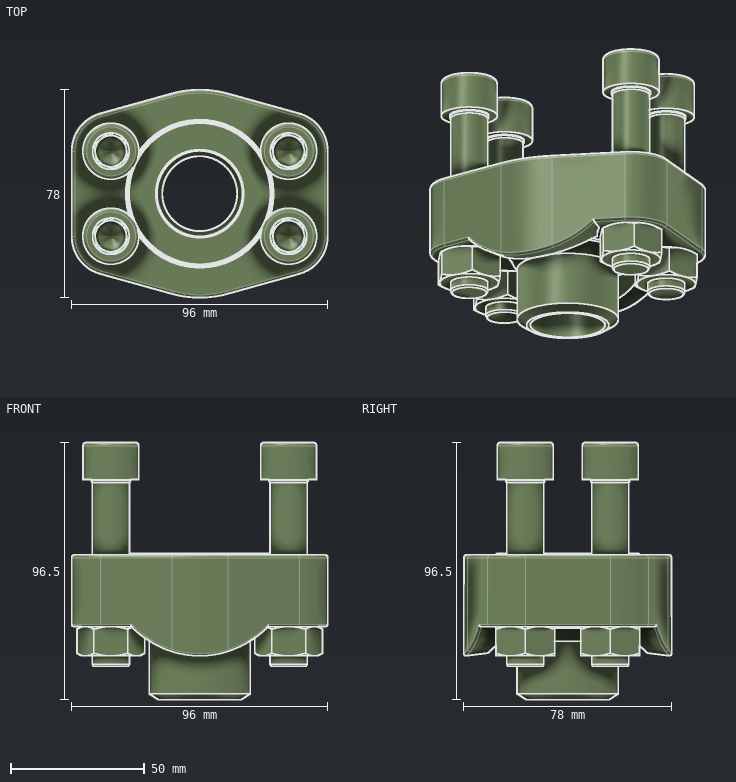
import cadquery as cq
import math


FLANGE_LENGTH = 96.0
FLANGE_WIDTH = 78.0
FLANGE_HEIGHT = 26.9
FLANGE_TOP_ROUND = 1.2
FLANGE_BOTTOM_ROUND = 0.9
LOBE_DEPTH = 11.1
LOBE_DRAFT = 7
LOBE_INNER_DIAMETER = 59.8
SEAT_DIAMETER = 54.7
SEAT_RIM_CHAMFER = 0.4
SLEEVE_HOLE_DIAMETER = 44.5
BOLT_HOLE_DIAMETER = 15.0

BOLT_X = 33.3
BOLT_Y = 15.9
BOLT_POSITIONS = [(x, y) for x in (-BOLT_X, BOLT_X) for y in (-BOLT_Y, BOLT_Y)]

SLEEVE_BOTTOM_Z = -27.5
SLEEVE_PROUD = 0.6
SLEEVE_HEAD_DIAMETER = 54.0
SLEEVE_HEAD_HEIGHT = 10.3
SLEEVE_HEAD_CHAMFER = 0.6
SHANK_DIAMETER = 43.5
PIPE_DIAMETER = 38.0
SHANK_BOTTOM_Z = -0.7
PIPE_TOP_Z = -5.5
BEVEL_WIDTH = 3.6
BEVEL_HEIGHT = 2.3
BORE_DIAMETER = 28.0
MOUTH_DIAMETER = 32.0
MOUTH_DEPTH = 5.2
MOUTH_CHAMFER = 0.5

BOLT_DIAMETER = 14.0
BOLT_TIP_Z = -15.0
BOLT_TIP_DIAMETER = 13.0
BOLT_TIP_CHAMFER = 0.9
BOLT_LENGTH = 70.0
BOLT_HEAD_DIAMETER = 21.0
BOLT_HEAD_HEIGHT = 14.0
BOLT_HEAD_ROUND = 1.35
NECK_DIAMETER = 14.8
NECK_HEIGHT = 0.4
NECK_TAPER_HEIGHT = 0.8
SOCKET_FLATS = 11.7
SOCKET_DEPTH = 7.5
SOCKET_MOUTH_DIAMETER = 13.7
SOCKET_TURN = 39
DRILL_POINT_ANGLE = 120

NUT_FLATS = 22.0
NUT_HEIGHT = 11.0
NUT_CHAMFER_ANGLE = 30


def hexagon_corners(flats):
    """Distance between opposite corners of a hexagon with the given width across flats."""
    return flats / math.cos(math.radians(30))


def flange_outline():
    """Hexagon-like outline: round corners about the bolt holes, joined by tangents to wide end arcs."""
    crown = FLANGE_WIDTH / 2
    corner = FLANGE_LENGTH / 2 - BOLT_X
    tangent_angle = math.atan2(BOLT_Y, BOLT_X) + math.acos((crown - corner) / math.hypot(BOLT_X, BOLT_Y))

    def corner_point(angle):
        return BOLT_X + corner * math.cos(angle), BOLT_Y + corner * math.sin(angle)

    side_x, side_y = corner_point(0)
    middle_x, middle_y = corner_point(tangent_angle / 2)
    end_x, end_y = corner_point(tangent_angle)
    crown_x = crown * math.cos(tangent_angle)
    crown_y = crown * math.sin(tangent_angle)
    return (
        cq.Workplane("XY")
        .moveTo(side_x, -side_y)
        .lineTo(side_x, side_y)
        .threePointArc((middle_x, middle_y), (end_x, end_y))
        .lineTo(crown_x, crown_y)
        .threePointArc((0, crown), (-crown_x, crown_y))
        .lineTo(-end_x, end_y)
        .threePointArc((-middle_x, middle_y), (-side_x, side_y))
        .lineTo(-side_x, -side_y)
        .threePointArc((-middle_x, -middle_y), (-end_x, -end_y))
        .lineTo(-crown_x, -crown_y)
        .threePointArc((0, -crown), (crown_x, -crown_y))
        .lineTo(end_x, -end_y)
        .threePointArc((middle_x, -middle_y), (side_x, -side_y))
        .close()
    )


def lobe_cones():
    """Two drafted round lobes, widest at the +Y and -Y ends, with their axis in the flange top plane."""
    end_radius = FLANGE_HEIGHT + LOBE_DEPTH
    length = FLANGE_WIDTH / 2
    middle_radius = end_radius - length * math.tan(math.radians(LOBE_DRAFT))
    start = cq.Vector(0, 0, FLANGE_HEIGHT)
    cones = [
        cq.Solid.makeCone(middle_radius, end_radius, length, start, cq.Vector(0, side, 0))
        for side in (-1, 1)
    ]
    return cq.Workplane(cones[0]).union(cq.Workplane(cones[1]))


def make_flange():
    """Flange with two lobes below it, a seat for the sleeve and four bolt holes."""
    full_height = FLANGE_HEIGHT + LOBE_DEPTH
    lobes = flange_outline().extrude(full_height).translate((0, 0, -LOBE_DEPTH)).intersect(lobe_cones())
    flange = flange_outline().extrude(FLANGE_HEIGHT).union(lobes)
    flange = flange.faces(">Z").edges().fillet(FLANGE_TOP_ROUND)

    underside_zone = cq.selectors.BoxSelector(
        (-FLANGE_LENGTH, -FLANGE_WIDTH, -full_height), (FLANGE_LENGTH, FLANGE_WIDTH, FLANGE_BOTTOM_ROUND)
    )
    core_reach = LOBE_INNER_DIAMETER / 2
    core = cq.selectors.BoxSelector(
        (-core_reach, -core_reach, -full_height), (core_reach, core_reach, full_height)
    )
    flange = flange.edges(underside_zone - core).fillet(FLANGE_BOTTOM_ROUND)

    flange = flange.cut(cq.Workplane("XY").circle(LOBE_INNER_DIAMETER / 2).extrude(-full_height))

    nut_clearances = (
        cq.Workplane("XY")
        .pushPoints(BOLT_POSITIONS)
        .circle(hexagon_corners(NUT_FLATS) / 2)
        .extrude(-NUT_HEIGHT)
    )
    flange = flange.cut(nut_clearances)

    seat_depth = SLEEVE_HEAD_HEIGHT - SLEEVE_PROUD
    flange = (
        flange.faces(">Z").workplane(origin=(0, 0, FLANGE_HEIGHT))
        .cboreHole(SLEEVE_HOLE_DIAMETER, SEAT_DIAMETER, seat_depth)
    )
    rim = cq.Solid.makeCone(
        SEAT_DIAMETER / 2,
        SEAT_DIAMETER / 2 + SEAT_RIM_CHAMFER,
        SEAT_RIM_CHAMFER,
        cq.Vector(0, 0, FLANGE_HEIGHT - SEAT_RIM_CHAMFER),
    )
    flange = flange.cut(cq.Workplane(rim))

    bolt_holes = (
        cq.Workplane("XY").pushPoints(BOLT_POSITIONS).circle(BOLT_HOLE_DIAMETER / 2).extrude(FLANGE_HEIGHT)
    )
    return flange.cut(bolt_holes)


def make_sleeve():
    """Headed pipe end: a turned profile of radius and height, revolved about Z."""
    top = FLANGE_HEIGHT + SLEEVE_PROUD
    head_radius = SLEEVE_HEAD_DIAMETER / 2
    pipe_radius = PIPE_DIAMETER / 2
    bore_radius = BORE_DIAMETER / 2
    mouth_radius = MOUTH_DIAMETER / 2
    profile = [
        (bore_radius, SLEEVE_BOTTOM_Z),
        (pipe_radius - BEVEL_WIDTH, SLEEVE_BOTTOM_Z),
        (pipe_radius, SLEEVE_BOTTOM_Z + BEVEL_HEIGHT),
        (pipe_radius, PIPE_TOP_Z),
        (SHANK_DIAMETER / 2, SHANK_BOTTOM_Z),
        (SHANK_DIAMETER / 2, top - SLEEVE_HEAD_HEIGHT),
        (head_radius, top - SLEEVE_HEAD_HEIGHT),
        (head_radius, top - SLEEVE_HEAD_CHAMFER),
        (head_radius - SLEEVE_HEAD_CHAMFER, top),
        (mouth_radius + MOUTH_CHAMFER, top),
        (mouth_radius, top - MOUTH_CHAMFER),
        (mouth_radius, top - MOUTH_DEPTH),
    ]
    return cq.Workplane("XZ").polyline(profile).close().revolve(360, (0, 0), (0, 1))


def socket_cutter(head_top):
    """Hexagon socket with a countersunk mouth and a drill-point floor."""
    corner_radius = hexagon_corners(SOCKET_FLATS) / 2
    floor = head_top - SOCKET_DEPTH
    hexagon = (
        cq.Workplane("XY", origin=(0, 0, floor))
        .polygon(6, 2 * corner_radius)
        .extrude(SOCKET_DEPTH)
        .rotate((0, 0, 0), (0, 0, 1), SOCKET_TURN)
    )
    point_slope = math.tan(math.radians(DRILL_POINT_ANGLE / 2))
    point_radius = SOCKET_FLATS / 2
    point_height = point_radius / point_slope
    point = cq.Solid.makeCone(0, point_radius, point_height, cq.Vector(0, 0, floor - point_height))
    mouth_radius = SOCKET_MOUTH_DIAMETER / 2
    mouth_height = mouth_radius / point_slope
    mouth = cq.Solid.makeCone(0, mouth_radius, mouth_height, cq.Vector(0, 0, head_top - mouth_height))
    return hexagon.union(cq.Workplane(point)).union(cq.Workplane(mouth))


def make_bolt(x, y):
    """Socket head bolt, head up, with a stepped neck under the head."""
    underhead = BOLT_TIP_Z + BOLT_LENGTH
    head_top = underhead + BOLT_HEAD_HEIGHT
    shank_radius = BOLT_DIAMETER / 2
    head_radius = BOLT_HEAD_DIAMETER / 2
    neck_radius = NECK_DIAMETER / 2
    neck_bottom = underhead - NECK_HEIGHT
    bolt = (
        cq.Workplane("XZ")
        .moveTo(0, BOLT_TIP_Z)
        .lineTo(BOLT_TIP_DIAMETER / 2, BOLT_TIP_Z)
        .lineTo(shank_radius, BOLT_TIP_Z + BOLT_TIP_CHAMFER)
        .lineTo(shank_radius, neck_bottom - NECK_TAPER_HEIGHT)
        .lineTo(neck_radius, neck_bottom)
        .lineTo(neck_radius, underhead)
        .lineTo(head_radius, underhead)
        .lineTo(head_radius, head_top)
        .lineTo(0, head_top)
        .close()
        .revolve(360, (0, 0), (0, 1))
    )
    bolt = bolt.faces(">Z").edges().fillet(BOLT_HEAD_ROUND)
    return bolt.cut(socket_cutter(head_top)).translate((x, y, 0))


def make_nut(x, y):
    """Hexagon nut under the flange, corners pointing along X, with both ends coned off."""
    flat_radius = NUT_FLATS / 2
    corner_radius = hexagon_corners(NUT_FLATS) / 2
    cone_height = (corner_radius - flat_radius) * math.tan(math.radians(NUT_CHAMFER_ANGLE))
    envelope = (
        cq.Workplane("XZ")
        .polyline([
            (0, 0),
            (flat_radius, 0),
            (corner_radius, -cone_height),
            (corner_radius, cone_height - NUT_HEIGHT),
            (flat_radius, -NUT_HEIGHT),
            (0, -NUT_HEIGHT),
        ])
        .close()
        .revolve(360, (0, 0), (0, 1))
    )
    nut = cq.Workplane("XY").polygon(6, 2 * corner_radius).extrude(-NUT_HEIGHT).intersect(envelope)
    bore = cq.Workplane("XY").circle(BOLT_DIAMETER / 2).extrude(-NUT_HEIGHT)
    return nut.cut(bore).translate((x, y, 0))


flange = make_flange()
sleeve = make_sleeve()
bolts = [make_bolt(x, y) for x, y in BOLT_POSITIONS]
nuts = [make_nut(x, y) for x, y in BOLT_POSITIONS]

result = cq.Compound.makeCompound([
    flange.val(),
    sleeve.val(),
    *[bolt.val() for bolt in bolts],
    *[nut.val() for nut in nuts],
])